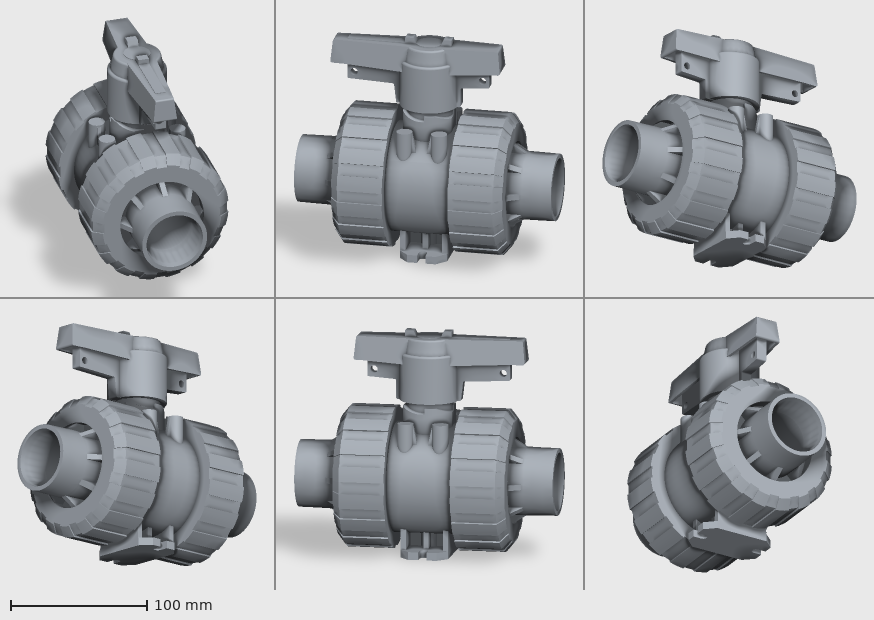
import cadquery as cq
import math


total_length = 193
nut_width = 105.2
base_bottom = -56.5
lug_top = 110.4

barrel_radius = 41.0
barrel_half_length = 50.0
bore_radius = 19.7

collar_radius = 20.0
collar_half_width = 18.3
collar_low = 50.8
collar_high = 55.0
ramp_flat = 8.1
ramp_end = 19.3
ramp_end_height = collar_low
quadrants = 4

stem_radius = 17.4
stem_top = 73.5

post_radius = 6.0
post_x = 13.03
post_y = 27.0
post_top = 45.2
gusset_width = 2.7
gusset_top_reach = 5.6
gusset_slope = 0.22
gusset_offset = 2.1
gusset_drop = 17.4

plate_half_x = 17.8
plate_half_y = 29.0
plate_thickness = 5.8
plate_chamfer_x = 7.1
plate_chamfer_y = 8.0
notch_width = 6.2
notch_depth = 6.4
base_wall = 4.0
side_wall_half_y = 20.5
middle_wall_half_y = 14.3
cross_wall_thickness = 3.9
screw_boss_radius = 6.2

nut_inner_x = 24.7
nut_outer_x = 64.3
nut_chamfer_length = 5.8
nut_chamfer_depth = 7.1
nut_lip_thickness = 9.6
nut_groove_depth = 1.4
nut_hole_radius = 32.0
nut_ribs = 16
nut_rib_angle = 12.5
nut_rib_pitch = 360 / nut_ribs
nut_shoulder_x = nut_outer_x - nut_chamfer_length
nut_lip_x = nut_outer_x - nut_lip_thickness
half_gap = math.radians((nut_rib_pitch - nut_rib_angle) / 2)
nut_radius = nut_width / 2 / math.cos(half_gap)

spigot_end_radius = 24.9
spigot_radius = 25.3
spigot_mouth_radius = 21.6
spigot_shoulder_x = 73.1
connector_ribs = 8
connector_rib_width = 4.0
connector_rib_slope = 0.63
connector_end_x = total_length / 2

handle_top = 105.8
hub_bottom = 58.7
hub_radius = 22.0
hub_ledge = 94.4
hub_ledge_round = 2.0
hub_cone_bottom_radius = 19.7
hub_cone_top_radius = 17.5
hub_top_round = 1.7

bar_left_x = -55.0
bar_right_x = 72.8
bar_end_lean = 1.7
bar_end_bottom = 88.2
bar_hub_bottom = 86.5
bar_hub_x = 17.8
bar_flat_left = -49.2
bar_flat_right = 60.0
bar_middle_half_width = 14.3
bar_left_half_width = 10.5
bar_right_half_width = 9.3
bar_side_draft = 2.3
bar_corner_round = 1.4
bar_wall = 2.3

web_thickness = 8.1
slot_width = 9.8
web_left_x = -45.7
web_right_x = 60.8
web_end_bottom = 75.0
web_step_z = 73.5
web_hub_left_x = -24.1
web_hub_right_x = 24.1
web_step_right_x = 25.9
web_corner_round = 1.0
eye_radius = 2.7
eye_inset = 5.0
eye_z = 80.5

cap_radius = 9.8
pad_height = 0.5
lug_outer_x = 17.4
lug_inner_top_x = 11.2
lug_inner_x = 9.0


def x_cylinder(radius, x_start, x_end):
    return cq.Workplane("YZ", origin=(x_start, 0, 0)).circle(radius).extrude(x_end - x_start)


def z_cylinder(radius, z_start, z_end, x=0, y=0):
    return cq.Workplane("XY", origin=(x, y, z_start)).circle(radius).extrude(z_end - z_start)


def block(x_size, y_size, z_start, z_end, x=0):
    shape = cq.Workplane("XY", origin=(x, 0, z_start)).rect(x_size, y_size)
    return shape.extrude(z_end - z_start)


def xz_plate(points, thickness):
    """Plate lying in the XZ plane, centred on Y = 0."""
    return cq.Workplane("XZ").polyline(points).close().extrude(thickness / 2, both=True)


def revolve_about_x(points, angle=360):
    """Revolve an (x, radius) outline about the pipe axis."""
    return cq.Workplane("XY").polyline(points).close().revolve(angle, (0, 0, 0), (1, 0, 0))


def make_collar():
    """Stem collar whose rim has one falling ramp in each quadrant."""
    ramp_outline = [
        (0, 0),
        (0, collar_high),
        (ramp_flat, collar_high),
        (ramp_end, ramp_end_height),
        (ramp_end, 0),
    ]
    ramp = cq.Workplane("XZ").polyline(ramp_outline).close().extrude(collar_radius)
    collar = z_cylinder(collar_radius, 0, collar_low)
    envelope = z_cylinder(collar_radius, 0, collar_high)
    for quadrant in range(quadrants):
        turned = ramp.rotate((0, 0, 0), (0, 0, 1), quadrant * 360 / quadrants)
        collar = collar.union(turned.intersect(envelope))
    return collar.intersect(block(2 * collar_half_width, 2 * collar_radius, 0, collar_high))


def make_post():
    """Post at +X +Y, with one gusset towards the YZ plane and one towards the stem."""
    foot_reach = gusset_top_reach + gusset_slope * gusset_drop
    outline = [
        (0, post_top),
        (-gusset_top_reach, post_top),
        (-foot_reach, post_top - gusset_drop),
        (0, post_top - gusset_drop),
    ]
    gusset = xz_plate(outline, gusset_width)
    x_gusset = gusset.translate((post_x, post_y, 0))
    y_gusset = gusset.rotate((0, 0, 0), (0, 0, 1), 90)
    y_gusset = y_gusset.translate((post_x + gusset_offset, post_y, 0))
    return z_cylinder(post_radius, 0, post_top, post_x, post_y).union(x_gusset).union(y_gusset)


def make_base():
    """Mounting foot: notched plate hung from the barrel by walls and a screw boss."""
    plate_top = base_bottom + plate_thickness
    corner_x = plate_half_x - plate_chamfer_x
    corner_y = plate_half_y - plate_chamfer_y
    plate_outline = [
        (corner_x, plate_half_y),
        (plate_half_x, corner_y),
        (plate_half_x, -corner_y),
        (corner_x, -plate_half_y),
        (-corner_x, -plate_half_y),
        (-plate_half_x, -corner_y),
        (-plate_half_x, corner_y),
        (-corner_x, plate_half_y),
    ]
    base = cq.Workplane("XY", origin=(0, 0, base_bottom)).polyline(plate_outline).close()
    base = base.extrude(plate_thickness)
    notches = (
        cq.Workplane("XY", origin=(0, 0, base_bottom))
        .pushPoints([(0, plate_half_y), (0, -plate_half_y)])
        .slot2D(2 * notch_depth + notch_width, notch_width, 90)
        .extrude(plate_thickness)
    )
    base = base.cut(notches)
    for side in (-1, 1):
        wall_x = side * (plate_half_x - base_wall / 2)
        base = base.union(block(base_wall, 2 * side_wall_half_y, plate_top, 0, wall_x))
    base = base.union(block(base_wall, 2 * middle_wall_half_y, plate_top, 0))
    base = base.union(block(2 * plate_half_x, cross_wall_thickness, plate_top, 0))
    return base.union(z_cylinder(screw_boss_radius, plate_top, 0))


def make_body():
    body = x_cylinder(barrel_radius, -barrel_half_length, barrel_half_length)
    body = body.union(make_collar()).union(z_cylinder(stem_radius, 0, stem_top))
    post = make_post()
    right_and_left_posts = post.union(post.mirror("YZ"))
    body = body.union(right_and_left_posts).union(right_and_left_posts.mirror("XZ")).union(make_base())
    return body.cut(x_cylinder(bore_radius, -barrel_half_length, barrel_half_length))


def nut_outline(radius):
    """Half section of the left nut with the given outer radius."""
    return [
        (-nut_inner_x, barrel_radius),
        (-nut_inner_x, radius),
        (-nut_shoulder_x, radius),
        (-nut_outer_x, radius - nut_chamfer_depth),
        (-nut_outer_x, nut_hole_radius),
        (-nut_lip_x, nut_hole_radius),
        (-nut_lip_x, barrel_radius),
    ]


def make_left_nut():
    nut = revolve_about_x(nut_outline(nut_radius - nut_groove_depth))
    rib = revolve_about_x(nut_outline(nut_radius), nut_rib_angle)
    first_angle = math.degrees(half_gap)
    for index in range(nut_ribs):
        angle = first_angle + index * nut_rib_pitch
        nut = nut.union(rib.rotate((0, 0, 0), (1, 0, 0), angle))
    return nut


def make_left_connector():
    """Spigot and flange, stiffened by sloping ribs between them."""
    connector = revolve_about_x([
        (-connector_end_x, spigot_mouth_radius),
        (-connector_end_x, spigot_end_radius),
        (-spigot_shoulder_x, spigot_radius),
        (-nut_lip_x, spigot_radius),
        (-nut_lip_x, barrel_radius),
        (-barrel_half_length, barrel_radius),
        (-barrel_half_length, bore_radius),
        (-spigot_shoulder_x, bore_radius),
    ])
    rib_length = spigot_shoulder_x - nut_lip_x
    rib_root = (spigot_radius + bore_radius) / 2
    rib = xz_plate(
        [
            (-spigot_shoulder_x, rib_root),
            (-spigot_shoulder_x, spigot_radius),
            (-nut_lip_x, spigot_radius + connector_rib_slope * rib_length),
            (-nut_lip_x, rib_root),
        ],
        connector_rib_width,
    )
    rib = rib.intersect(x_cylinder(nut_hole_radius, -spigot_shoulder_x, -nut_lip_x))
    for index in range(connector_ribs):
        connector = connector.union(rib.rotate((0, 0, 0), (1, 0, 0), index * 360 / connector_ribs))
    return connector


def bar_plan(inset):
    """Plan outline of the bar, with its long sides moved in by the inset."""
    upper_side = [
        (bar_left_x, bar_left_half_width - inset),
        (0, bar_middle_half_width - inset),
        (bar_right_x, bar_right_half_width - inset),
    ]
    return upper_side + [(x, -y) for x, y in reversed(upper_side)]


def drafted_bar(inset):
    """Bar with drafted sides, moved in by the inset, before its ends are shaped."""
    height = handle_top - bar_hub_bottom
    bar = cq.Workplane("XY", origin=(0, 0, bar_hub_bottom)).polyline(bar_plan(inset)).close()
    bar = bar.workplane(offset=height).polyline(bar_plan(inset + bar_side_draft)).close()
    return bar.loft(ruled=True)


def bar_side_shape(inset):
    """Side outline of the bar; the inset moves in its ends and its top."""
    outline = [
        (bar_left_x + inset, bar_end_bottom),
        (bar_flat_left, bar_end_bottom),
        (-bar_hub_x, bar_hub_bottom),
        (bar_hub_x, bar_hub_bottom),
        (bar_flat_right, bar_end_bottom),
        (bar_right_x - inset, bar_end_bottom),
        (bar_right_x - bar_end_lean - inset, handle_top - inset),
        (bar_left_x + bar_end_lean + inset, handle_top - inset),
    ]
    return xz_plate(outline, 2 * bar_middle_half_width)


def make_bar():
    """Hollow bar, open underneath."""
    side_shape = bar_side_shape(0).edges("(|Y and >Z) or (|Y and <X) or (|Y and >X)").fillet(bar_corner_round)
    cavity = drafted_bar(bar_wall).intersect(bar_side_shape(bar_wall))
    return drafted_bar(0).intersect(side_shape).cut(cavity)


def make_hub():
    barrel = z_cylinder(hub_radius, hub_bottom, hub_ledge).faces(">Z").edges().fillet(hub_ledge_round)
    cone = (
        cq.Workplane("XY", origin=(0, 0, hub_ledge))
        .circle(hub_cone_bottom_radius)
        .workplane(offset=handle_top - hub_ledge)
        .circle(hub_cone_top_radius)
        .loft()
        .faces(">Z")
        .edges()
        .fillet(hub_top_round)
    )
    return barrel.union(cone)


def make_web():
    """Central web under the bar, with a hanging eye near each end."""
    outline = [
        (web_left_x, handle_top - bar_wall),
        (web_left_x, web_end_bottom),
        (web_hub_left_x, web_step_z),
        (web_hub_left_x, hub_bottom),
        (web_hub_right_x, hub_bottom),
        (web_step_right_x, web_step_z),
        (web_right_x, web_end_bottom),
        (web_right_x, handle_top - bar_wall),
    ]
    eyes = (
        cq.Workplane("XZ")
        .pushPoints([(web_left_x + eye_inset, eye_z), (web_right_x - eye_inset, eye_z)])
        .circle(eye_radius)
        .extrude(web_thickness, both=True)
    )
    web = xz_plate(outline, web_thickness).edges("|Y and (not >Z)").fillet(web_corner_round)
    return web.cut(eyes)


def make_top_details():
    """Thin cap and pad on the bar, and the two wedge-shaped lugs beside the cap."""
    pad_top = handle_top + pad_height
    pad = block(web_right_x, web_thickness, handle_top, pad_top, web_right_x / 2)
    lug = xz_plate(
        [
            (lug_inner_x, handle_top),
            (lug_inner_top_x, lug_top),
            (lug_outer_x, lug_top),
            (lug_outer_x, handle_top),
        ],
        web_thickness,
    )
    return z_cylinder(cap_radius, handle_top, pad_top).union(pad).union(lug).union(lug.mirror("YZ"))


def make_handle():
    slot = block(2 * hub_radius, slot_width, hub_bottom, handle_top - bar_wall)
    stem_socket = z_cylinder(stem_radius, hub_bottom, stem_top)
    handle = make_bar().union(make_hub()).cut(slot).union(make_web()).cut(stem_socket)
    return handle.union(make_top_details())


body = make_body()
left_nut = make_left_nut()
left_connector = make_left_connector()
handle = make_handle()

solids = [*body.solids().vals(), *handle.solids().vals()]
for left_part in (left_nut, left_connector):
    solids.extend(left_part.solids().vals())
    solids.extend(left_part.mirror("YZ").solids().vals())

result = cq.Compound.makeCompound(solids)